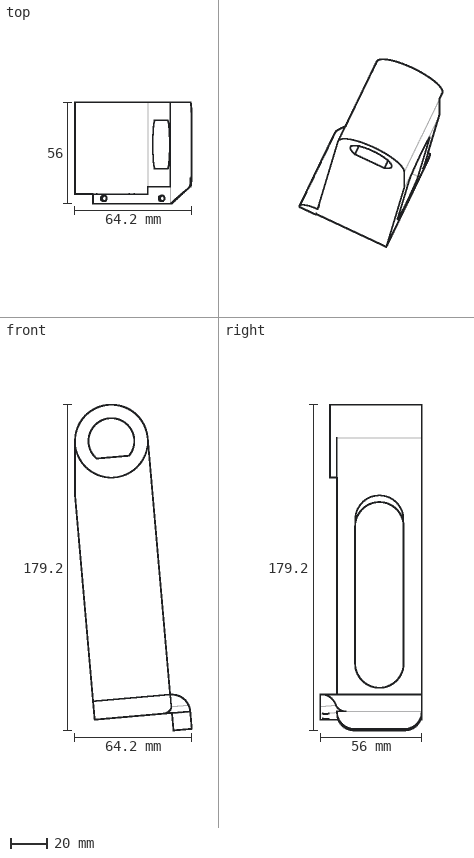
import cadquery as cq
import math

LEAN_ANGLE = 5.0
HUB_RADIUS = 20.0
HUB_LENGTH = 50.5
BORE_RADIUS = 12.5
BORE_FLAT_DEPTH = 8.8
ARM_WIDTH = 46.6
ARM_LEFT = -22.6
PLATE_TOP = -141.7
PLATE_THICKNESS = 10.2
PLATE_WIDTH = 56.0
LIP_THICKNESS = PLATE_THICKNESS
LIP_BOTTOM = -161.6
LIP_CORNER_RADIUS = 9.5
CORNER_EDGE_FILLET = 3.5
SLOT_WIDTH = 26.5
SLOT_TOP = -31.7
SLOT_BOTTOM = -138.0
HOLE_DIAMETER = 3.2
HOLE_POSITIONS = (-16.7, 15.2)
HOLE_SETBACK = 3.0

PLATE_BOTTOM = PLATE_TOP - PLATE_THICKNESS
ARM_RIGHT = HUB_RADIUS
LIP_OUTER = ARM_RIGHT + LIP_THICKNESS
LEAN = math.radians(LEAN_ANGLE)


def make_hub():
    return cq.Workplane("XZ").circle(HUB_RADIUS).extrude(HUB_LENGTH)


def make_arm():
    tangent_x = -HUB_RADIUS * math.cos(LEAN)
    tangent_z = HUB_RADIUS * math.sin(LEAN)
    knee_z = tangent_z - (tangent_x - ARM_LEFT) / math.tan(LEAN)
    outline = [
        (tangent_x, tangent_z),
        (ARM_LEFT, knee_z),
        (ARM_LEFT, PLATE_BOTTOM),
        (ARM_RIGHT, PLATE_BOTTOM),
        (ARM_RIGHT, 0),
    ]
    return cq.Workplane("XZ").polyline(outline).close().extrude(ARM_WIDTH)


def make_plate():
    """Foot plate with a bevelled front corner and a rounded upper right edge."""
    outline = [
        (ARM_LEFT, 0),
        (LIP_OUTER, 0),
        (LIP_OUTER, -ARM_WIDTH),
        (ARM_RIGHT, -PLATE_WIDTH),
        (ARM_LEFT, -PLATE_WIDTH),
    ]
    plate = cq.Workplane("XY", origin=(0, 0, PLATE_BOTTOM)).polyline(outline).close()
    plate = plate.extrude(PLATE_THICKNESS)
    bevel_middle = ((ARM_RIGHT + LIP_OUTER) / 2, -(ARM_WIDTH + PLATE_WIDTH) / 2, PLATE_BOTTOM)
    bevel_edge = cq.selectors.NearestToPointSelector(bevel_middle)
    plate = plate.edges(bevel_edge).fillet(CORNER_EDGE_FILLET)
    bend_outline = (
        cq.Workplane("XZ")
        .moveTo(ARM_LEFT, PLATE_TOP)
        .lineTo(ARM_RIGHT, PLATE_TOP)
        .radiusArc((LIP_OUTER, PLATE_BOTTOM), LIP_THICKNESS)
        .lineTo(ARM_LEFT, PLATE_BOTTOM)
        .close()
        .extrude(PLATE_WIDTH)
    )
    return plate.intersect(bend_outline)


def make_lip():
    """Downward lip with its two lower corners rounded."""
    height = PLATE_BOTTOM - LIP_BOTTOM
    lip = cq.Workplane("XY", origin=(ARM_RIGHT, -ARM_WIDTH, LIP_BOTTOM))
    lip = lip.box(LIP_THICKNESS, ARM_WIDTH, height, centered=False)
    return lip.edges("|X and <Z").fillet(LIP_CORNER_RADIUS)


def make_bore():
    """Round bore with a flat on its lower side."""
    half_flat = math.sqrt(BORE_RADIUS**2 - BORE_FLAT_DEPTH**2)
    return (
        cq.Workplane("XZ")
        .moveTo(-half_flat, -BORE_FLAT_DEPTH)
        .threePointArc((0, BORE_RADIUS), (half_flat, -BORE_FLAT_DEPTH))
        .close()
        .extrude(HUB_LENGTH)
    )


def make_slot():
    middle = (ARM_LEFT, -ARM_WIDTH / 2, (SLOT_TOP + SLOT_BOTTOM) / 2)
    slot = cq.Workplane("YZ", origin=middle).slot2D(SLOT_TOP - SLOT_BOTTOM, SLOT_WIDTH, 90)
    return slot.extrude(ARM_RIGHT - ARM_LEFT)


def make_screw_holes():
    centres = [(x, HOLE_SETBACK - PLATE_WIDTH) for x in HOLE_POSITIONS]
    holes = cq.Workplane("XY", origin=(0, 0, PLATE_BOTTOM)).pushPoints(centres)
    return holes.circle(HOLE_DIAMETER / 2).extrude(PLATE_THICKNESS)


upright = make_hub().union(make_arm()).union(make_plate()).union(make_lip())
upright = upright.cut(make_bore()).cut(make_slot()).cut(make_screw_holes())
result = upright.rotate((0, 0, 0), (0, 1, 0), -LEAN_ANGLE)